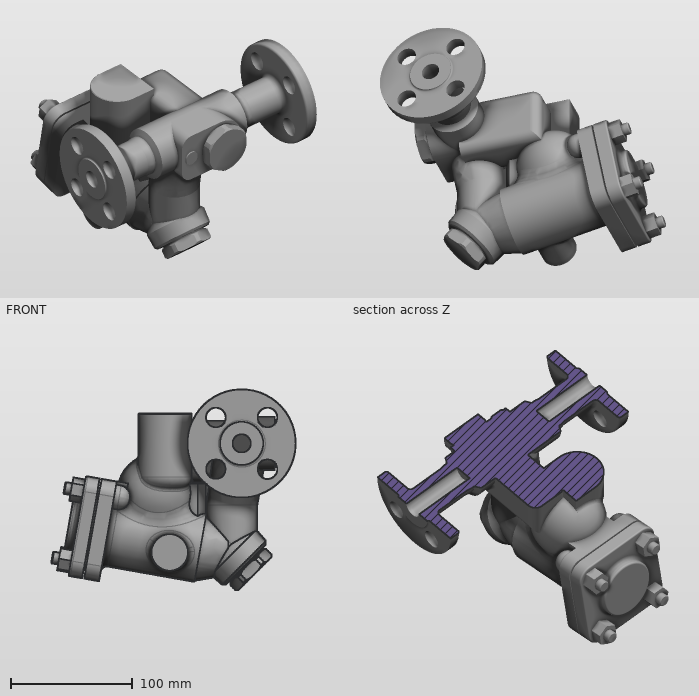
import cadquery as cq
import math

ARC_INSET = 1 - math.sqrt(0.5)

HALF_LENGTH = 101.0
FLANGE_DIA = 89.0
FLANGE_THICK = 10.5
FLANGE_EDGE_ROUND = 2.0
RAISED_FACE_DIA = 35.5
RAISED_FACE_HEIGHT = 1.5
BOLT_HOLE_DIA = 16.0
BOLT_CIRCLE_DIA = 60.0
PIPE_DIA = 32.0
NECK_FILLET = 3.5
WELD_DIA = 33.5
WELD_START = 47.5
WELD_LENGTH = 7.0
BORE_DIA = 15.0
BODY_DIA = 44.0
BODY_HALF_LENGTH = 44.5
BODY_RADIUS = BODY_DIA / 2

HOUSING_FACE_X = 27.2
HOUSING_PLUG_Y = 12.0
HOUSING_FAR_Y = -28.0
HOUSING_CORNER = 10.0
BUTTON_DIA = 12.0
BUTTON_Y = -18.5
BUTTON_HEIGHT = 1.2

PLUG_HEX = 38.0
PLUG_ROUND_DIA = 41.8
PLUG_NECK_DIA = 37.0
PLUG_NECK = 1.3
PLUG_HEIGHT = 10.6
PLUG_CHAMFER = 1.4

TRAP_Y = -8.0
TRAP_Z = -85.3
TILT = math.radians(10)
BEND_X = -36.3
ELBOW_X = -10.9
BARREL_RADIUS = 28.6
RUN_RADIUS = 27.7
RUN_END_RADIUS = 21.8
RUN_DROP = 1.2
ELBOW_RADIUS = 21.5
MITRE_OVERLAP = BARREL_RADIUS * math.tan(TILT / 2)
BARREL_FILLET = 4.5
STRAINER_LENGTH = 20.2
STRAINER_SHOULDER = 6.0
STRAINER_RADIUS = 26.3
STRAINER_END_RADIUS = 25.5
STRAINER_CHAMFER = 2.0

FLANGE_BACK = 74.7
PLATE_THICK = 12.6
GASKET_THICK = 1.6
COVER_THICK = 11.5
BOLT_SPACING = 58.0
PLATE_CORNER = 12.7
PLATE_SIZE = BOLT_SPACING + 2 * PLATE_CORNER
COVER_EDGE_ROUND = 1.4
GASKET_DIA = 64.0
COVER_DISC_DIA = 50.0
COVER_DISC_HEIGHT = 7.0
COVER_DISC_ROUND = 1.7
COVER_DISC_FILLET = 3.0
STUD_DIA = 10.0
STUD_HEIGHT = 15.8
STUD_CHAMFER = 0.8
NUT_HEX = 17.0
NUT_HEIGHT = 10.0
LUG_RADIUS = 10.0
LUG_LENGTH = 13.0
LUG_ROUND = 9.0
FLANGE_WEB_LENGTH = 24.0
FLANGE_WEB_WIDTH = 42.0
FLANGE_WEB_HEIGHT = 22.0

DOME_X = -70.5
DOME_Z = -40.5
DOME_RADIUS = 31.8
DOME_FILLET = 13.0
DOME_WEB_WIDTH = 28.0
DOME_WEB_TIP_WIDTH = 8.0
DOME_WEB_SHOULDER_X = -36.0
DOME_WEB_TOP_Z = -33.0
COLUMN_X = -62.9
COLUMN_Y = -25.0
COLUMN_RADIUS = 22.0
COLUMN_BACK_Y = -3.5
COLUMN_BOTTOM_Z = -36.5
COLUMN_TOP_Z = 24.6
COLUMN_ROUND = 9.0
COLUMN_FILLET = 3.5
COLUMN_CHAMFER = 0.6
OUTLET_DIA = 30.0
OUTLET_X = -59.1
OUTLET_Z = -89.6
OUTLET_END_Y = -53.3
OUTLET_FILLET = 5.0
LINK_START_X = -69.7
LINK_FRONT_Y = -7.8
LINK_BACK_Y = 28.7
LINK_BOTTOM_Z = -32.0
LINK_TOP_Z = 18.6
LINK_ROUND = 8.0

RISER_X = -8.2
RISER_RADIUS = 21.2
RISER_JOINT_Z = -50.4


def tilted_plane(distance):
    """Plane across the tilted axis, facing the cover; its local y points up."""
    normal = (-math.cos(TILT), 0, math.sin(TILT))
    origin = (BEND_X + distance * normal[0], TRAP_Y, TRAP_Z + distance * normal[2])
    return cq.Plane(origin=origin, xDir=(0, -1, 0), normal=normal)


def hex_prism(plane, across_flats, height, turn=0):
    across_corners = across_flats / math.cos(math.pi / 6)
    turned = cq.Workplane(plane).transformed(rotate=(0, 0, turn))
    return turned.polygon(6, across_corners).extrude(height)


def turn_profile(profile, plane):
    """Turn a closed radius-and-height profile about the normal of the plane."""
    turned = profile.revolve(360, (0, 0, 0), (0, 1, 0))
    return cq.Workplane(turned.val().moved(cq.Location(plane)))


def disc(plane, radius, height):
    return cq.Workplane(plane).circle(radius).extrude(height)


def hex_plug(plane):
    """Round neck with a hexagonal head whose corners are turned down."""
    neck = disc(plane, PLUG_NECK_DIA / 2, PLUG_NECK)
    blank = cq.Workplane(plane).workplane(offset=PLUG_NECK).circle(PLUG_ROUND_DIA / 2)
    blank = blank.extrude(PLUG_HEIGHT - PLUG_NECK).edges().chamfer(PLUG_CHAMFER)
    head = hex_prism(plane, PLUG_HEX, PLUG_HEIGHT).intersect(blank)
    return head.union(neck)


def pipe_half():
    """The +Y half of the flanged pipe, turned about the Y axis."""
    flange_front = HALF_LENGTH - RAISED_FACE_HEIGHT
    flange_back = flange_front - FLANGE_THICK
    flange_radius = FLANGE_DIA / 2
    face_radius = RAISED_FACE_DIA / 2
    pipe_radius = PIPE_DIA / 2
    weld_radius = WELD_DIA / 2
    weld_end = WELD_START + WELD_LENGTH
    neck_arc = NECK_FILLET * ARC_INSET
    edge_arc = FLANGE_EDGE_ROUND * ARC_INSET
    face_arc = RAISED_FACE_HEIGHT * ARC_INSET
    half = (
        cq.Workplane("XY")
        .lineTo(BODY_RADIUS, 0)
        .lineTo(BODY_RADIUS, BODY_HALF_LENGTH)
        .lineTo(weld_radius, WELD_START)
        .threePointArc((weld_radius, WELD_START + WELD_LENGTH / 2), (pipe_radius, weld_end))
        .lineTo(pipe_radius, flange_back - NECK_FILLET)
        .threePointArc(
            (pipe_radius + neck_arc, flange_back - neck_arc),
            (pipe_radius + NECK_FILLET, flange_back),
        )
        .lineTo(flange_radius - FLANGE_EDGE_ROUND, flange_back)
        .threePointArc(
            (flange_radius - edge_arc, flange_back + edge_arc),
            (flange_radius, flange_back + FLANGE_EDGE_ROUND),
        )
        .lineTo(flange_radius, flange_front)
        .lineTo(face_radius + RAISED_FACE_HEIGHT, flange_front)
        .threePointArc(
            (face_radius + face_arc, flange_front + face_arc),
            (face_radius, HALF_LENGTH),
        )
        .lineTo(0, HALF_LENGTH)
        .close()
        .revolve(360, (0, 0, 0), (0, 1, 0))
    )
    end = cq.Workplane("XZ", origin=(0, HALF_LENGTH, 0))
    bolt_pitch = BOLT_CIRCLE_DIA / math.sqrt(2)
    holes = (
        end.rect(bolt_pitch, bolt_pitch, forConstruction=True)
        .vertices()
        .circle(BOLT_HOLE_DIA / 2)
        .extrude(HALF_LENGTH - flange_back)
    )
    bore = end.circle(BORE_DIA / 2).extrude(HALF_LENGTH - BODY_HALF_LENGTH)
    return half.cut(holes).cut(bore)


def flanged_pipe():
    half = pipe_half()
    return half.union(half.mirror("XZ"))


def side_housing():
    """Rounded housing on the pipe body with its plug and a small round button."""
    corner_y = HOUSING_FAR_Y + HOUSING_CORNER
    corner_z = BODY_RADIUS - HOUSING_CORNER
    inset = HOUSING_CORNER * ARC_INSET
    housing = (
        cq.Workplane("YZ")
        .moveTo(corner_y, BODY_RADIUS)
        .lineTo(HOUSING_PLUG_Y, BODY_RADIUS)
        .threePointArc((HOUSING_PLUG_Y + BODY_RADIUS, 0), (HOUSING_PLUG_Y, -BODY_RADIUS))
        .lineTo(corner_y, -BODY_RADIUS)
        .threePointArc((HOUSING_FAR_Y + inset, inset - BODY_RADIUS), (HOUSING_FAR_Y, -corner_z))
        .lineTo(HOUSING_FAR_Y, corner_z)
        .threePointArc((HOUSING_FAR_Y + inset, BODY_RADIUS - inset), (corner_y, BODY_RADIUS))
        .close()
        .extrude(HOUSING_FACE_X)
    )
    button = disc(
        cq.Plane.named("YZ", (HOUSING_FACE_X, BUTTON_Y, 0)), BUTTON_DIA / 2, BUTTON_HEIGHT
    )
    plug = hex_plug(
        cq.Plane(origin=(HOUSING_FACE_X, HOUSING_PLUG_Y, 0), xDir=(0, 0, 1), normal=(1, 0, 0))
    )
    return housing.union(button).union(plug)


def dome():
    return cq.Workplane("XY").sphere(DOME_RADIUS).translate((DOME_X, TRAP_Y, DOME_Z))


def barrel():
    """Tilted barrel with the dome and the side outlet filleted onto it."""
    tube = disc(tilted_plane(-MITRE_OVERLAP), BARREL_RADIUS, FLANGE_BACK + MITRE_OVERLAP)
    outlet_plane = cq.Plane.named("XZ", origin=(OUTLET_X, TRAP_Y, OUTLET_Z))
    outlet = disc(outlet_plane, OUTLET_DIA / 2, TRAP_Y - OUTLET_END_Y)
    domed = tube.union(dome()).edges("%BSPLINE").fillet(DOME_FILLET)
    small = tube.union(outlet).edges("%BSPLINE").fillet(OUTLET_FILLET)
    return domed.union(small)


def barrel_flare():
    """Fillet ring between the barrel and the back of its flange."""
    inset = BARREL_FILLET * ARC_INSET
    profile = (
        cq.Workplane("XZ")
        .lineTo(BARREL_RADIUS, 0)
        .threePointArc(
            (BARREL_RADIUS + inset, BARREL_FILLET - inset),
            (BARREL_RADIUS + BARREL_FILLET, BARREL_FILLET),
        )
        .lineTo(0, BARREL_FILLET)
        .close()
    )
    return turn_profile(profile, tilted_plane(FLANGE_BACK - BARREL_FILLET))


def strainer():
    """Level run from the barrel to a ball elbow, then a tapered nozzle at 45 degrees down."""
    run_start = BEND_X - MITRE_OVERLAP
    run_plane = cq.Plane.named("YZ", origin=(run_start, TRAP_Y, TRAP_Z))
    run = (
        cq.Workplane(run_plane)
        .circle(RUN_RADIUS)
        .workplane(offset=ELBOW_X - run_start)
        .center(0, -RUN_DROP)
        .circle(RUN_END_RADIUS)
        .loft()
    )
    slope = math.sqrt(0.5)
    nozzle_plane = cq.Plane(
        origin=(ELBOW_X, TRAP_Y, TRAP_Z), xDir=(slope, 0, slope), normal=(slope, 0, -slope)
    )
    profile = (
        cq.Workplane("XZ")
        .moveTo(0, -ELBOW_RADIUS)
        .threePointArc((ELBOW_RADIUS * slope, -ELBOW_RADIUS * slope), (ELBOW_RADIUS, 0))
        .lineTo(STRAINER_RADIUS, STRAINER_SHOULDER)
        .lineTo(STRAINER_END_RADIUS, STRAINER_LENGTH - STRAINER_CHAMFER)
        .lineTo(STRAINER_END_RADIUS - STRAINER_CHAMFER, STRAINER_LENGTH)
        .lineTo(0, STRAINER_LENGTH)
        .close()
    )
    nozzle = turn_profile(profile, nozzle_plane)
    face_plane = cq.Plane(
        origin=nozzle_plane.toWorldCoords((0, 0, STRAINER_LENGTH)),
        xDir=nozzle_plane.xDir,
        normal=nozzle_plane.zDir,
    )
    return run.union(nozzle).union(hex_plug(face_plane))


def square_plate(distance, thickness):
    plate = cq.Workplane(tilted_plane(distance)).rect(PLATE_SIZE, PLATE_SIZE).extrude(thickness)
    return plate.edges(cq.selectors.ParallelDirSelector(tilted_plane(0).zDir)).fillet(PLATE_CORNER)


def cover_disc(distance):
    """Raised disc with a filleted foot and a rounded rim."""
    radius = COVER_DISC_DIA / 2
    foot_inset = COVER_DISC_FILLET * ARC_INSET
    rim_inset = COVER_DISC_ROUND * ARC_INSET
    profile = (
        cq.Workplane("XZ")
        .lineTo(radius + COVER_DISC_FILLET, 0)
        .threePointArc((radius + foot_inset, foot_inset), (radius, COVER_DISC_FILLET))
        .lineTo(radius, COVER_DISC_HEIGHT - COVER_DISC_ROUND)
        .threePointArc(
            (radius - rim_inset, COVER_DISC_HEIGHT - rim_inset),
            (radius - COVER_DISC_ROUND, COVER_DISC_HEIGHT),
        )
        .lineTo(0, COVER_DISC_HEIGHT)
        .close()
    )
    return turn_profile(profile, tilted_plane(distance))


def bolted_cover():
    """Barrel flange, gasket and cover with its raised disc."""
    gasket_at = FLANGE_BACK + PLATE_THICK
    cover_at = gasket_at + GASKET_THICK
    disc_at = cover_at + COVER_THICK
    outward = cq.selectors.DirectionMinMaxSelector(tilted_plane(0).zDir)
    flange = square_plate(FLANGE_BACK, PLATE_THICK)
    gasket = disc(tilted_plane(gasket_at), GASKET_DIA / 2, GASKET_THICK)
    cover = square_plate(cover_at, COVER_THICK).faces(outward).edges().fillet(COVER_EDGE_ROUND)
    return flange.union(gasket).union(cover).union(cover_disc(disc_at))


def cover_bolts():
    """Four studs with nuts; the nuts on neighbouring corners are a quarter turn apart."""
    gasket_at = FLANGE_BACK + PLATE_THICK
    nut_plane = tilted_plane(gasket_at + GASKET_THICK + COVER_THICK)
    stud_length = GASKET_THICK + COVER_THICK + STUD_HEIGHT
    outward = cq.selectors.DirectionMinMaxSelector(nut_plane.zDir)
    bolts = cq.Workplane()
    for side in (-1, 1):
        for level in (-1, 1):
            spot = (side * BOLT_SPACING / 2, level * BOLT_SPACING / 2)
            turn = 90 if side == level else 0
            stud = cq.Workplane(tilted_plane(gasket_at)).center(*spot).circle(STUD_DIA / 2)
            stud = stud.extrude(stud_length).faces(outward).chamfer(STUD_CHAMFER)
            corner_plane = cq.Plane(
                origin=nut_plane.toWorldCoords(spot), xDir=nut_plane.xDir, normal=nut_plane.zDir
            )
            bolts = bolts.add(stud.union(hex_prism(corner_plane, NUT_HEX, NUT_HEIGHT, turn)))
    return bolts.combine()


def flange_lugs():
    """Rounded lugs behind the two upper bolts and the web between them."""
    back_plane = tilted_plane(FLANGE_BACK)
    inward = cq.selectors.DirectionMinMaxSelector(back_plane.zDir, False)
    half = BOLT_SPACING / 2
    lugs = (
        cq.Workplane(back_plane)
        .pushPoints([(-half, half), (half, half)])
        .circle(LUG_RADIUS)
        .extrude(-LUG_LENGTH)
        .faces(inward)
        .edges()
        .fillet(LUG_ROUND)
    )
    web = (
        cq.Workplane(back_plane)
        .center(0, (PLATE_SIZE - FLANGE_WEB_HEIGHT) / 2)
        .rect(FLANGE_WEB_WIDTH, FLANGE_WEB_HEIGHT)
        .extrude(-FLANGE_WEB_LENGTH)
    )
    return lugs.union(web)


def column():
    """Upright column, flat at the back and round at the front, filleted onto the dome."""
    shaft = (
        cq.Workplane("XY", origin=(COLUMN_X, 0, COLUMN_BOTTOM_Z))
        .moveTo(-COLUMN_RADIUS, COLUMN_BACK_Y)
        .lineTo(-COLUMN_RADIUS, COLUMN_Y)
        .threePointArc((0, COLUMN_Y - COLUMN_RADIUS), (COLUMN_RADIUS, COLUMN_Y))
        .lineTo(COLUMN_RADIUS, COLUMN_BACK_Y)
        .close()
        .extrude(COLUMN_TOP_Z - COLUMN_BOTTOM_Z)
    )
    shaft = shaft.faces("<Z").edges("not >Y").fillet(COLUMN_ROUND)
    shaft = shaft.faces(">Z").chamfer(COLUMN_CHAMFER)
    return dome().union(shaft).edges("%BSPLINE").fillet(COLUMN_FILLET)


def link_block():
    """Rounded block from the dome to the pipe body."""
    corner = (LINK_START_X, LINK_FRONT_Y, LINK_BOTTOM_Z)
    size = (-LINK_START_X, LINK_BACK_Y - LINK_FRONT_Y, LINK_TOP_Z - LINK_BOTTOM_Z)
    block = cq.Workplane("XY").box(*size, centered=False).translate(corner)
    return block.edges("|X or (<X and |Z) or (<X and >Z)").fillet(LINK_ROUND)


def dome_web():
    """Upright wedge that fills the gap between the dome and the riser."""
    wide = DOME_WEB_WIDTH / 2
    narrow = DOME_WEB_TIP_WIDTH / 2
    wedge = (
        cq.Workplane("XY", origin=(0, TRAP_Y, TRAP_Z))
        .moveTo(DOME_X, -wide)
        .lineTo(DOME_WEB_SHOULDER_X, -wide)
        .lineTo(RISER_X - RISER_RADIUS, -narrow)
        .lineTo(RISER_X, 0)
        .lineTo(RISER_X - RISER_RADIUS, narrow)
        .lineTo(DOME_WEB_SHOULDER_X, wide)
        .lineTo(DOME_X, wide)
        .close()
        .extrude(DOME_WEB_TOP_Z - TRAP_Z)
    )
    return wedge


def riser():
    """Upright tube from the elbow, then a leaning transition into the pipe body."""
    joint = cq.Plane.named("XY", (RISER_X, TRAP_Y, RISER_JOINT_Z))
    tube = disc(joint, RISER_RADIUS, TRAP_Z - RISER_JOINT_Z)
    leaning = (
        cq.Workplane(joint)
        .circle(RISER_RADIUS)
        .workplane(offset=-RISER_JOINT_Z)
        .center(-RISER_X, 0)
        .circle(BODY_RADIUS)
        .loft()
    )
    bore = cq.Workplane("XZ").circle(BODY_RADIUS).extrude(BODY_HALF_LENGTH, both=True)
    return tube.union(leaning.cut(bore))


trap = barrel().union(barrel_flare()).union(strainer())
trap = trap.union(bolted_cover()).union(cover_bolts()).union(flange_lugs()).union(dome_web())
upper = flanged_pipe().union(side_housing()).union(link_block()).union(column())
result = trap.union(upper).union(riser())